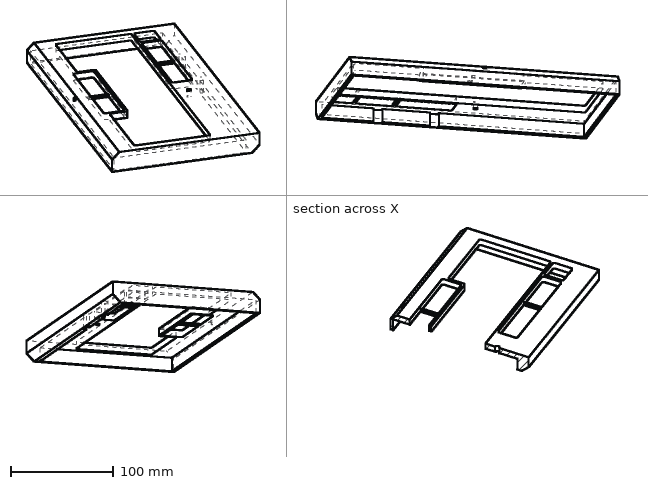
import cadquery as cq

length = 269.6
depth = 151.8
height = 20.5
front_chamfer = 7.3
rear_chamfer = 7.8

wall = 3.0
rear_wall = 13.0
plate = 7.0

key_row = 21.0
five_keys = 97.3
main_width = 249.7
main_depth = 78.2
main_rear_y = 28.3
rib = 2.7
corner_radius = 2.0
main_left_x = -main_width / 2

rear_row_y = main_rear_y + rib + key_row / 2
single_x = main_left_x + key_row / 2
rear_five_x = main_left_x + key_row + rib + five_keys / 2
rear_divider_x = -61.7

front_five_x = -4.5
front_row_y = -44.2
front_divider_x = -7.0

divider_width = 3.0
divider_height = 2.0

hole_diameter = 4.0
hole_x = 17.5
hole_y = 41.3
lens_diameter = 3.2
lens_height = 0.8
lens_x = 0.5
lens_drop = 1.75

notch_xs = (-75.5, -18.5)
notch_width = 9.0
notch_depth = 4.0

rear_y = depth / 2
front_y = -depth / 2
plate_bottom = height - plate


def block(width, extent, tall, x, y, z):
    """Box centred on x, y whose bottom lies at z."""
    return cq.Workplane("XY").box(width, extent, tall, centered=(True, True, False)).translate((x, y, z))


def rounded_block(width, extent, tall, x, y, z):
    """Box with rounded vertical edges."""
    return block(width, extent, tall, x, y, z).edges("|Z").fillet(corner_radius)


def make_case():
    """Solid case with its top front and bottom rear edges bevelled."""
    body = block(length, depth, height, 0, 0, 0)
    body = body.faces("<Y").edges(">Z").chamfer(front_chamfer)
    return body.faces(">Y").edges("<Z").chamfer(rear_chamfer)


def make_cavity():
    """Space under the plate, with rounded notches running into the rear wall."""
    cavity_rear_y = rear_y - rear_wall
    cavity_front_y = front_y + wall
    cavity = block(
        length - 2 * wall,
        cavity_rear_y - cavity_front_y,
        plate_bottom,
        0,
        (cavity_rear_y + cavity_front_y) / 2,
        0,
    )
    for x in notch_xs:
        cavity = cavity.union(
            rounded_block(notch_width, 2 * notch_depth, plate_bottom, x, cavity_rear_y, 0)
        )
    return cavity


def make_main_opening():
    """Large opening, notched at the front around the framed front keys."""
    opening = block(main_width, main_depth, plate, 0, main_rear_y - main_depth / 2, plate_bottom)
    frame = block(
        five_keys + 2 * rib, key_row + 2 * rib, plate, front_five_x, front_row_y, plate_bottom
    )
    return opening.cut(frame).edges("|Z").fillet(corner_radius)


def make_divider(x, y):
    """Low bar across a key opening from front to rear."""
    return block(divider_width, key_row, divider_height, x, y, plate_bottom)


def make_lens():
    """Round lens standing square on the front bevel."""
    bevel = cq.Plane(
        origin=(lens_x, front_y + front_chamfer - lens_drop, height - lens_drop),
        xDir=(1, 0, 0),
        normal=(0, -1, 1),
    )
    return (
        cq.Workplane(bevel)
        .workplane(offset=-lens_height)
        .circle(lens_diameter / 2)
        .extrude(2 * lens_height)
    )


result = make_case().cut(make_cavity()).cut(make_main_opening())

for opening_width, x, y in (
    (key_row, single_x, rear_row_y),
    (five_keys, rear_five_x, rear_row_y),
    (five_keys, front_five_x, front_row_y),
):
    result = result.cut(rounded_block(opening_width, key_row, plate, x, y, plate_bottom))

result = result.union(make_divider(rear_divider_x, rear_row_y))
result = result.union(make_divider(front_divider_x, front_row_y))

hole = cq.Workplane("XY").center(hole_x, hole_y).circle(hole_diameter / 2).extrude(height)
result = result.cut(hole).union(make_lens())